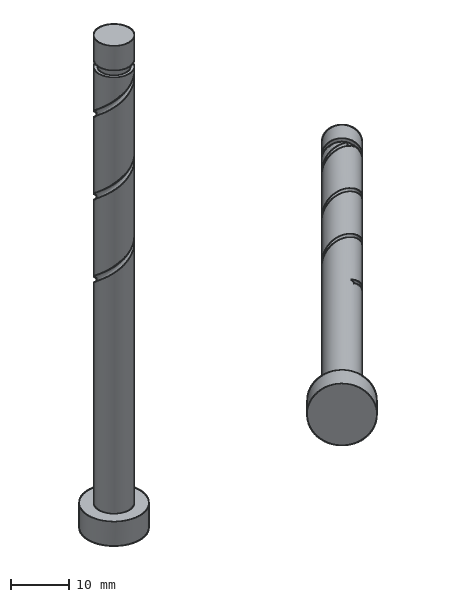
import cadquery as cq
import math

total_length = 100.0
head_diameter = 12.0
head_height = 5.0
shank_diameter = 7.0

tip_length = 5.0
ring_groove_width = 1.4
ring_groove_diameter = 5.7

spiral_pitch = 16.8
spiral_turns = 3
spiral_groove_diameter = 1.0
spiral_bottom = 43.4
spiral_start_angle = 90.0


def make_pin():
    """Cylindrical head and shank, concentric on Z."""
    head = cq.Workplane("XY").circle(head_diameter / 2).extrude(head_height)
    shank = cq.Workplane("XY").circle(shank_diameter / 2).extrude(total_length)
    return head.union(shank)


def make_ring_groove():
    """Square-sided ring that necks the shank."""
    groove_bottom = total_length - tip_length - ring_groove_width
    return (
        cq.Workplane("XY", origin=(0, 0, groove_bottom))
        .circle(head_diameter / 2)
        .circle(ring_groove_diameter / 2)
        .extrude(ring_groove_width)
    )


def make_spiral_groove():
    """Round cutter swept along a helix on the shank surface."""
    radius = shank_diameter / 2
    helix = cq.Wire.makeHelix(spiral_pitch, spiral_pitch * spiral_turns, radius)
    start_tangent = (0, 2 * math.pi * radius, spiral_pitch)
    start_plane = cq.Plane(origin=(radius, 0, 0), xDir=(1, 0, 0), normal=start_tangent)
    cutter = (
        cq.Workplane(start_plane)
        .circle(spiral_groove_diameter / 2)
        .sweep(cq.Workplane(obj=helix), isFrenet=True)
    )
    return cutter.rotate((0, 0, 0), (0, 0, 1), spiral_start_angle).translate((0, 0, spiral_bottom))


result = make_pin().cut(make_spiral_groove()).cut(make_ring_groove())